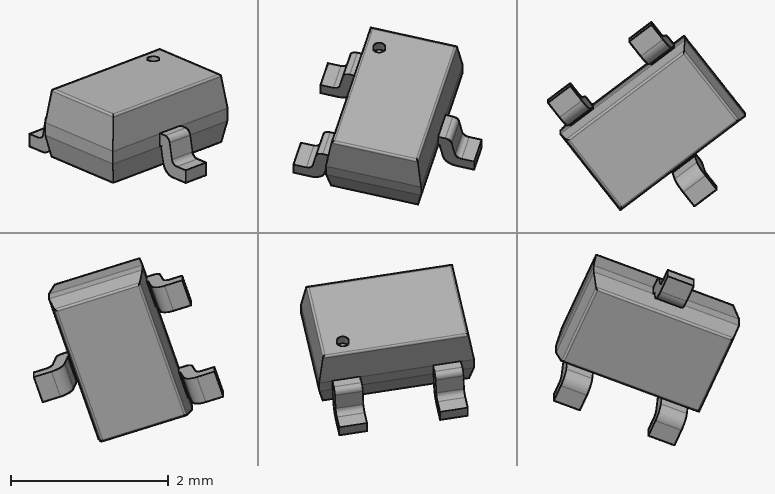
import cadquery as cq
import math

span = 2.2
package_height = 1.0

housing_width = 1.252
housing_length = 2.0
standoff = 0.05
top_draft = 7.5
bottom_draft = 10.5
edge_radius = 0.03

dimple_diameter = 0.156
dimple_depth = 0.15
dimple_from_side = 0.25
dimple_from_end = 0.352

lead_thickness = 0.175
lead_width = 0.359
lead_pitch = 1.3
lead_top = 0.537
foot_flat = 0.167
bend_radius = 0.088
heel_radius = 0.18
web_lean = 11.0

band_bottom = lead_top - lead_thickness


def make_tapered_block(height, draft):
    """Block rising from the band outline and narrowing with the draft; far edges rounded."""
    block = cq.Workplane("XY").rect(housing_width, housing_length).extrude(height, taper=draft)
    return block.faces(">Z").edges().fillet(edge_radius)


def make_housing():
    band = (
        cq.Workplane("XY", origin=(0, 0, band_bottom))
        .rect(housing_width, housing_length)
        .extrude(lead_thickness)
    )
    upper = make_tapered_block(package_height - lead_top, top_draft).translate((0, 0, lead_top))
    lower = (
        make_tapered_block(band_bottom - standoff, bottom_draft)
        .mirror("XY")
        .translate((0, 0, band_bottom))
    )
    dimple = (
        cq.Workplane("XY", origin=(0, 0, package_height))
        .center(dimple_from_side - housing_width / 2, housing_length / 2 - dimple_from_end)
        .circle(dimple_diameter / 2)
        .extrude(-dimple_depth)
    )
    return band.union(upper).union(lower).cut(dimple)


def make_lead():
    """Lead on the -X side, centred on Y = 0, from its foot tip to the housing side."""
    lean = math.radians(web_lean)
    tip_x = -span / 2
    root_x = -housing_width / 2

    foot_bend_x = tip_x + foot_flat
    foot_bend_z = lead_thickness + bend_radius
    shoulder_bend_z = lead_top - bend_radius

    web_distance = bend_radius + lead_thickness
    heel_drop = web_distance - heel_radius
    heel_x = foot_bend_x + heel_drop * (1 - math.sin(lean)) / math.cos(lean)

    def foot_arc_point(angle):
        """Point on the upper foot arc; the angle is measured down from the +X direction."""
        return (foot_bend_x + bend_radius * math.cos(angle), foot_bend_z - bend_radius * math.sin(angle))

    def heel_arc_point(angle):
        """Point on the heel arc; the angle is measured down from the +X direction."""
        return (heel_x + heel_radius * math.cos(angle), heel_radius * (1 - math.sin(angle)))

    web_rise = shoulder_bend_z - foot_bend_z
    shoulder_bend_x = foot_bend_x + 2 * bend_radius / math.cos(lean) + web_rise * math.tan(lean)

    def shoulder_arc_point(angle):
        """Point on the shoulder arc; the angle is measured up from the -X direction."""
        return (
            shoulder_bend_x - bend_radius * math.cos(angle),
            shoulder_bend_z + bend_radius * math.sin(angle),
        )

    corner_rise = band_bottom - foot_bend_z
    corner_x = foot_bend_x + web_distance / math.cos(lean) + corner_rise * math.tan(lean)

    mid_bend = (lean + math.pi / 2) / 2
    profile = (
        cq.Workplane("XZ")
        .moveTo(tip_x, 0)
        .lineTo(heel_x, 0)
        .threePointArc(heel_arc_point(mid_bend), heel_arc_point(lean))
        .lineTo(corner_x, band_bottom)
        .lineTo(root_x, band_bottom)
        .lineTo(root_x, lead_top)
        .lineTo(shoulder_bend_x, lead_top)
        .threePointArc(shoulder_arc_point(mid_bend), shoulder_arc_point(lean))
        .lineTo(*foot_arc_point(lean))
        .threePointArc(foot_arc_point(mid_bend), foot_arc_point(math.pi / 2))
        .lineTo(tip_x, lead_thickness)
        .close()
    )
    return profile.extrude(lead_width / 2, both=True)


lead_places = [
    (lead_pitch / 2, 0),
    (-lead_pitch / 2, 0),
    (0, 180),
]

housing = make_housing()
leads = []
for lead_y, turn in lead_places:
    lead = make_lead().rotate((0, 0, 0), (0, 0, 1), turn).translate((0, lead_y, 0))
    leads.append(lead.val())

result = cq.Compound.makeCompound([housing.val(), *leads])